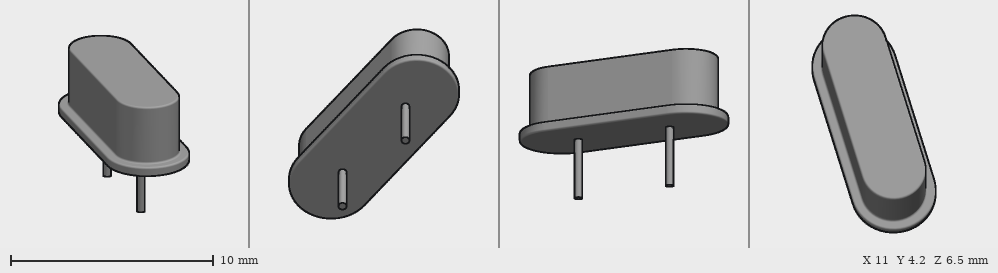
import cadquery as cq

flange_length = 11.0
flange_width = 4.2
flange_height = 0.5
flange_rim = 0.5
can_top = 3.5
edge_radius = 0.1

lead_diameter = 0.4
lead_length = 3.0
lead_pitch = 5.0

can_length = flange_length - 2 * flange_rim
can_width = flange_width - 2 * flange_rim


def stadium(length, width, height):
    """Upright block on Z = 0 with fully rounded ends, long axis along X."""
    return cq.Workplane("XY").slot2D(length, width).extrude(height)


def make_flange():
    """Base flange with rounded upper and lower rims."""
    flange = stadium(flange_length, flange_width, flange_height)
    return flange.faces("<Z or >Z").edges().fillet(edge_radius)


def make_can():
    """Can rising through the flange from its underside, with a rounded top rim."""
    can = stadium(can_length, can_width, can_top)
    return can.faces(">Z").edges().fillet(edge_radius)


def make_leads():
    """Two round leads hanging below the flange."""
    return (
        cq.Workplane("XY")
        .pushPoints([(-lead_pitch / 2, 0), (lead_pitch / 2, 0)])
        .circle(lead_diameter / 2)
        .extrude(-lead_length)
    )


def fillet_foot(body):
    """Round the inside corner between the can wall and the flange."""
    margin = 0.01
    corner = cq.selectors.BoxSelector(
        (-can_length / 2 - margin, -can_width / 2 - margin, flange_height - margin),
        (can_length / 2 + margin, can_width / 2 + margin, flange_height + margin),
        boundingbox=True,
    )
    return body.edges(corner).fillet(edge_radius)


result = fillet_foot(make_flange().union(make_can())).union(make_leads())